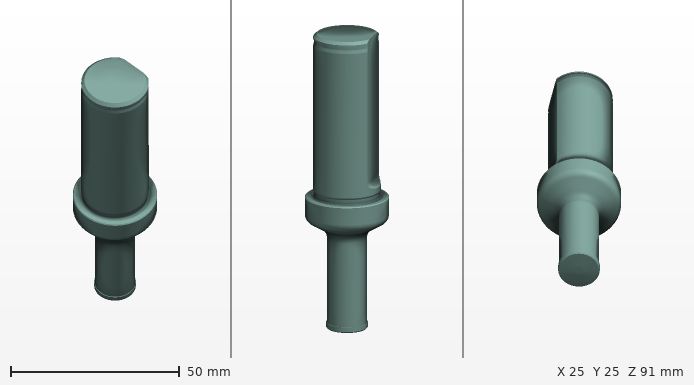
import cadquery as cq
import math

total_length = 91.0

tip_radius = 6.2
tip_top = 2.1
tip_cone_height = 0.3
tip_bevel = 0.4
tip_flat_radius = 2.7 / 2

stem_radius = 11.9 / 2
stem_top = 28.1

flange_radius = 25.0 / 2
flange_bottom = 35.4
flange_top = 40.95
flange_chamfer = 0.3
flare_outer_arc = 2.7
flare_angle = math.radians(30)

shank_radius = 20.0 / 2
groove_radius = 19.5 / 2
groove_taper = 0.55
undercut_top = 42.95
undercut_arc = 0.55
undercut_depth = 0.2
undercut_rim_radius = 10.9
end_taper_bottom = 87.5
end_groove_bottom = 88.6
end_groove_top = 89.5
end_chamfer_width = 1.0
end_chamfer_height = 0.8

flat_distance = 8.1
flat_bottom = 44.6
flat_runout_radius = 2.5


def revolve_about_z(profile):
    """Turn a closed (radius, height) profile about the Z axis."""
    return profile.close().revolve(360, (0, 0, 0), (0, 1, 0))


def arc_point(center, radius, angle):
    return (center[0] + radius * math.cos(angle), center[1] + radius * math.sin(angle))


def make_tip():
    profile = (
        cq.Workplane("XZ")
        .lineTo(tip_flat_radius, 0)
        .lineTo(tip_radius - tip_bevel, tip_cone_height)
        .lineTo(tip_radius, tip_cone_height + tip_bevel)
        .lineTo(tip_radius, tip_top)
        .lineTo(0, tip_top)
    )
    return revolve_about_z(profile)


def add_flare(profile):
    """Concave arc from the stem, a tangent cone, then a convex arc up to the flange."""
    tangent_angle = math.pi / 2 - flare_angle
    outer_center = (flange_radius - flare_outer_arc, flange_bottom)
    cone_end = arc_point(outer_center, flare_outer_arc, -tangent_angle)

    width = flange_radius - stem_radius
    height = flange_bottom - stem_top
    arc_sum = (height * math.cos(flare_angle) - width * math.sin(flare_angle)) / (1 - math.sin(flare_angle))
    flare_inner_arc = arc_sum - flare_outer_arc
    inner_center = (stem_radius + flare_inner_arc, stem_top)
    cone_start = arc_point(inner_center, flare_inner_arc, math.pi - tangent_angle)

    inner_middle = arc_point(inner_center, flare_inner_arc, math.pi - tangent_angle / 2)
    outer_middle = arc_point(outer_center, flare_outer_arc, -tangent_angle / 2)
    return (
        profile.threePointArc(inner_middle, cone_start)
        .lineTo(*cone_end)
        .threePointArc(outer_middle, (flange_radius, flange_bottom))
    )


def add_undercut(profile):
    """Relief groove in the flange face and the shank, with a rounded corner."""
    floor = flange_top - undercut_depth
    corner_center = (groove_radius + undercut_arc, floor + undercut_arc)
    corner_middle = arc_point(corner_center, undercut_arc, math.radians(225))
    return (
        profile.lineTo(undercut_rim_radius, flange_top)
        .lineTo(corner_center[0], floor)
        .threePointArc(corner_middle, (groove_radius, corner_center[1]))
        .lineTo(groove_radius, undercut_top - groove_taper)
        .lineTo(shank_radius, undercut_top)
    )


def add_shank_end(profile):
    """Tapered lead-in, narrow groove and chamfer at the end of the shank."""
    return (
        profile.lineTo(shank_radius, end_taper_bottom)
        .lineTo(groove_radius, end_groove_bottom)
        .lineTo(groove_radius, end_groove_top)
        .lineTo(shank_radius, end_groove_top)
        .lineTo(shank_radius, total_length - end_chamfer_height)
        .lineTo(shank_radius - end_chamfer_width, total_length)
        .lineTo(0, total_length)
    )


def make_flat_cutter():
    """Block that mills the flat and leaves a rounded run-out at its lower end."""
    return (
        cq.Workplane("XY")
        .box(2 * shank_radius, shank_radius, total_length - flat_bottom, centered=(True, False, False))
        .translate((0, flat_distance, flat_bottom))
        .edges("<Y and <Z")
        .fillet(flat_runout_radius)
    )


def make_holder():
    profile = cq.Workplane("XZ").moveTo(0, tip_top).lineTo(stem_radius, tip_top).lineTo(stem_radius, stem_top)
    profile = add_flare(profile)
    profile = profile.lineTo(flange_radius, flange_top - flange_chamfer)
    profile = profile.lineTo(flange_radius - flange_chamfer, flange_top)
    profile = add_undercut(profile)
    profile = add_shank_end(profile)
    return revolve_about_z(profile).cut(make_flat_cutter())


tip = make_tip()
holder = make_holder()

result = cq.Compound.makeCompound([holder.solids().val(), tip.val()])